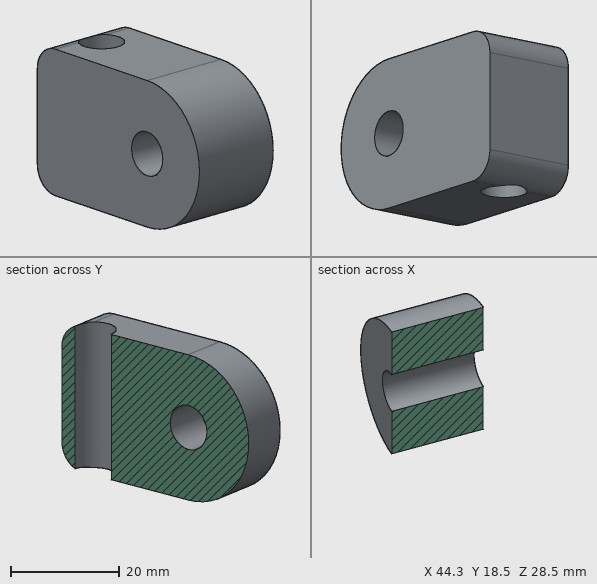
import cadquery as cq

length = 44.25
thickness = 18.5
height = 28.5
corner_radius = 5.0
hole_diameter = 8.5
cross_hole_from_flat_end = 7.5

end_radius = height / 2
pivot_x = length - end_radius


def make_body():
    """Block with a half-round end at +X and two rounded corners at the flat end."""
    profile = (
        cq.Workplane("XZ")
        .moveTo(0, -end_radius)
        .lineTo(pivot_x, -end_radius)
        .threePointArc((length, 0), (pivot_x, end_radius))
        .lineTo(0, end_radius)
        .close()
    )
    body = profile.extrude(thickness / 2, both=True)
    return body.edges("|Y and <X").fillet(corner_radius)


def make_hole(plane, x):
    """Cutter on the mid-plane, long enough to pass through the body both ways."""
    return cq.Workplane(plane).center(x, 0).circle(hole_diameter / 2).extrude(length, both=True)


pivot_hole = make_hole("XZ", pivot_x)
cross_hole = make_hole("XY", cross_hole_from_flat_end)

result = make_body().cut(pivot_hole).cut(cross_hole)